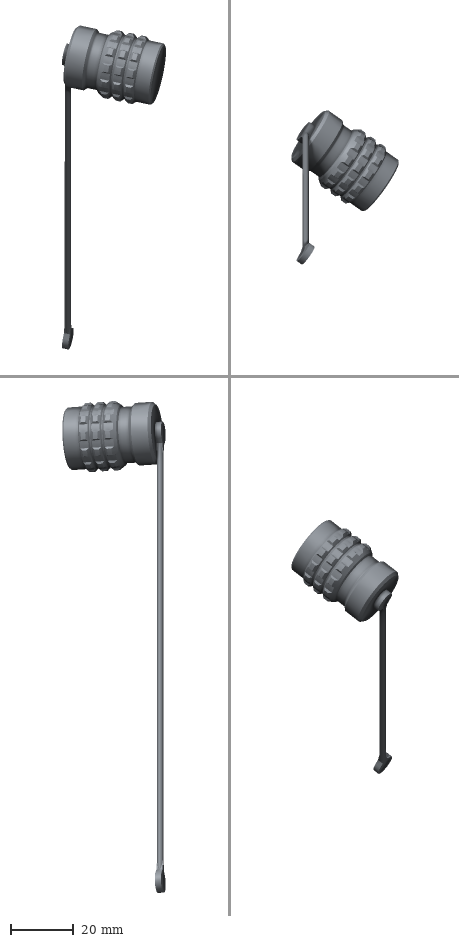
import cadquery as cq
import math


strap_thickness = 2.0
strap_width = 2.3
strap_length = 150.0
end_disc_radius = 3.5
flank_end = end_disc_radius * math.sqrt(2) - strap_width / 2
tongue_length = 8.5

overall_length = 30.83
body_radius = 10.0
back_face = strap_thickness
back_chamfer = 0.9
front_chamfer = 0.5
knob_end = 8.35
neck_radius = 9.0
neck_start = knob_end + body_radius - neck_radius
neck_fillet_radius = 0.7
neck_end = 12.75
shoulder_end = 13.2
shoulder_radius = 9.75

ring_radius = 11.035
ring_top_width = 1.5
ring_pitch = 4.0
ring_count = 3
first_ring_centre = 15.8
ring_slope = ring_radius - body_radius

groove_count = 12
groove_floor_radius = 10.4
groove_floor_width = 2.5
groove_depth = ring_radius - groove_floor_radius
groove_top_width = groove_floor_width + 2 * groove_depth


def ring_centre(index):
    return first_ring_centre + index * ring_pitch


def cap_body():
    """Solid of revolution: knob, neck, shoulder, grip rings and front rim."""
    half_top = ring_top_width / 2
    fillet_reach = neck_fillet_radius * math.tan(math.radians(45) / 2)
    fillet_rise = fillet_reach / math.sqrt(2)
    fillet_start = (neck_start - fillet_rise, -neck_radius - fillet_rise)
    fillet_end = (neck_start + fillet_reach, -neck_radius)
    profile = (
        cq.Workplane("XY")
        .moveTo(back_face, 0)
        .lineTo(back_face, back_chamfer - body_radius)
        .lineTo(back_face + back_chamfer, -body_radius)
        .lineTo(knob_end, -body_radius)
        .lineTo(*fillet_start)
        .tangentArcPoint(fillet_end, relative=False)
        .lineTo(neck_end, -neck_radius)
        .lineTo(shoulder_end, -shoulder_radius)
    )
    for index in range(ring_count):
        centre = ring_centre(index)
        if index > 0:
            profile = profile.lineTo(centre - half_top - ring_slope, -body_radius)
        profile = (
            profile.lineTo(centre - half_top, -ring_radius)
            .lineTo(centre + half_top, -ring_radius)
            .lineTo(centre + half_top + ring_slope, -body_radius)
        )
    profile = (
        profile.lineTo(overall_length - front_chamfer, -body_radius)
        .lineTo(overall_length, front_chamfer - body_radius)
        .lineTo(overall_length, 0)
        .close()
    )
    return profile.revolve(360, (0, 0, 0), (1, 0, 0))


def groove_cutters():
    """Trapezoidal grooves along X whose floors follow a cylinder around the cap axis."""
    start = shoulder_end
    length = ring_centre(ring_count - 1) + ring_pitch - start
    inner = groove_floor_radius - groove_depth
    outer = ring_radius + groove_depth
    half_inner = groove_floor_width / 2 - groove_depth
    half_outer = groove_top_width / 2 + groove_depth
    wedge = (
        cq.Workplane("YZ", origin=(start, 0, 0))
        .polyline([(-half_inner, inner), (half_inner, inner), (half_outer, outer), (-half_outer, outer)])
        .close()
        .extrude(length)
    )
    core = cq.Workplane("YZ", origin=(start, 0, 0)).circle(groove_floor_radius).extrude(length)
    wedge = wedge.cut(core)
    step = 360 / groove_count
    return [wedge.rotate((0, 0, 0), (1, 0, 0), index * step) for index in range(groove_count)]


def strap_end():
    """Flat disc with 45 degree flanks and a tongue that narrows to a point on the strap (towards -Z)."""
    tangent = end_disc_radius / math.sqrt(2)
    half_width = strap_width / 2
    disc = cq.Workplane("YZ").circle(end_disc_radius).extrude(strap_thickness)
    tongue = (
        cq.Workplane("YZ")
        .polyline([
            (0, 0),
            (-tangent, -tangent),
            (-half_width, -flank_end),
            (0, -tongue_length),
            (half_width, -flank_end),
            (tangent, -tangent),
        ])
        .close()
        .extrude(strap_thickness)
    )
    return disc.union(tongue)


def strap():
    """Lens-shaped strap of two arcs, with the same flat end at both ends."""
    half_width = strap_width / 2
    middle = strap_thickness / 2
    rod = (
        cq.Workplane("XY")
        .moveTo(middle, -half_width)
        .threePointArc((0, 0), (middle, half_width))
        .threePointArc((strap_thickness, 0), (middle, -half_width))
        .close()
        .extrude(-strap_length)
    )
    upper_end = strap_end()
    lower_end = upper_end.mirror("XY").translate((0, 0, -strap_length))
    return rod.union(upper_end).union(lower_end)


cap = cap_body()
for cutter in groove_cutters():
    cap = cap.cut(cutter)

result = cap.union(strap())